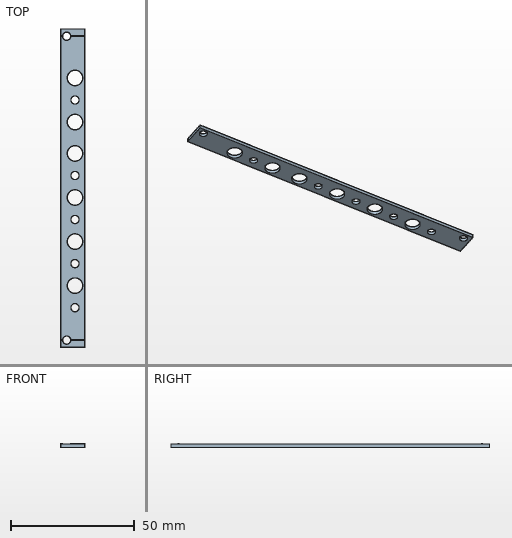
import cadquery as cq

PANEL_WIDTH = 9.8
PANEL_LENGTH = 128.5
PANEL_THICKNESS = 1.5

MOUNT_DIAMETER = 3.2
MOUNT_X = -2.5
MOUNT_EDGE_DISTANCE = 3.0
MOUNT_Y = PANEL_LENGTH / 2 - MOUNT_EDGE_DISTANCE

RIDGE_WIDTH = 0.4
RIDGE_HEIGHT = 0.1

COLUMN_X = 0.9
JACK_DIAMETER = 6.2
UPPER_GROUP_Y = 44.5
UPPER_GROUP_COUNT = 2
LOWER_GROUP_Y = 14.0
LOWER_GROUP_COUNT = 4
LOWER_GROUP_SPAN = 53.3
JACK_PITCH = LOWER_GROUP_SPAN / (LOWER_GROUP_COUNT - 1)

LAMP_DIAMETER = 3.2
LAMP_DROP = JACK_PITCH / 2


def column(top_y, count):
    """Centres of evenly pitched holes going down from top_y."""
    return [(COLUMN_X, top_y - i * JACK_PITCH) for i in range(count)]


def drill(body, centres, diameter):
    """Cut round holes right through the panel and anything raised on it."""
    cutter_height = PANEL_THICKNESS + RIDGE_HEIGHT
    cutters = cq.Workplane("XY").pushPoints(centres).circle(diameter / 2).extrude(cutter_height)
    return body.cut(cutters)


panel = cq.Workplane("XY").box(PANEL_WIDTH, PANEL_LENGTH, PANEL_THICKNESS, centered=(True, True, False))

ridges = (
    cq.Workplane("XY", origin=(0, 0, PANEL_THICKNESS))
    .pushPoints([(0, MOUNT_Y), (0, -MOUNT_Y)])
    .rect(PANEL_WIDTH, RIDGE_WIDTH)
    .extrude(RIDGE_HEIGHT)
)
panel = panel.union(ridges)

mounts = [(MOUNT_X, MOUNT_Y), (MOUNT_X, -MOUNT_Y)]
jacks = column(UPPER_GROUP_Y, UPPER_GROUP_COUNT) + column(LOWER_GROUP_Y, LOWER_GROUP_COUNT)

lamps = column(UPPER_GROUP_Y - LAMP_DROP, UPPER_GROUP_COUNT - 1)
lamps += column(LOWER_GROUP_Y - LAMP_DROP, LOWER_GROUP_COUNT)

panel = drill(panel, mounts, MOUNT_DIAMETER)
panel = drill(panel, jacks, JACK_DIAMETER)
result = drill(panel, lamps, LAMP_DIAMETER)